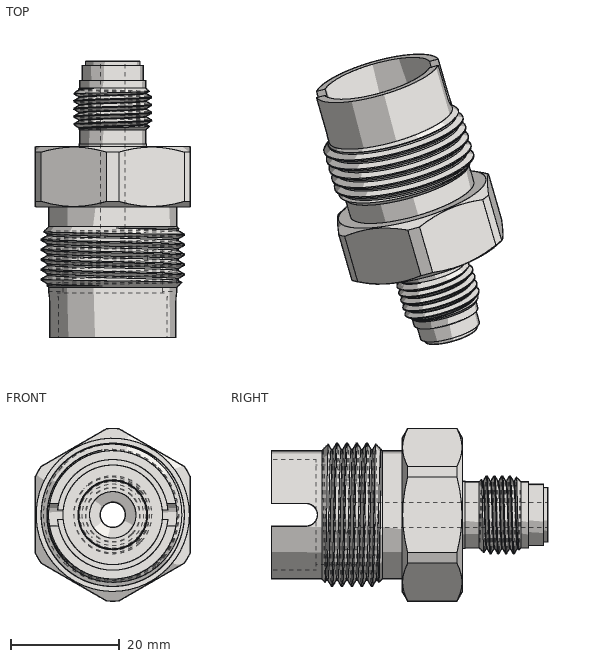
import cadquery as cq
import math

LENGTH = 50.8

HEX_ACROSS_FLATS = 28.55
HEX_ACROSS_CORNERS = 31.75
HEX_CORNER_RADIUS = HEX_ACROSS_CORNERS / 2
HEX_FACE_RADIUS = 14.05
HEX_START = 24.0
HEX_END = 35.1
HEX_BEVEL_ANGLE = 30.0
HEX_BEVEL = (HEX_CORNER_RADIUS - HEX_FACE_RADIUS) * math.tan(math.radians(HEX_BEVEL_ANGLE))
HEX_SIDES = 6
HEX_HALF_SECTOR = 180 / HEX_SIDES

BARREL_RADIUS = 11.8
MOUTH_RADIUS = 10.15
MOUTH_DEPTH = 8.25
SOCKET_RADIUS = 9.15
SOCKET_DEPTH = 16.25
SLOT_WIDTH = 4.1
SLOT_DEPTH = 8.45

SEAT_RADIUS = 6.4
SEAT_TIP = 13.2
SEAT_CHAMFER = 0.15
CONE_RADIUS = 4.1
CONE_DEPTH = 0.9
THROAT_RADIUS = 2.55
HOLE_RADIUS = 2.3
THROAT_LENGTH = 0.2

COLLAR_RADIUS = 6.2
COLLAR_END = 35.55
NECK_RADIUS = 6.1
NECK_END = 47.25
PILOT_RADIUS = 5.65
PILOT_END = 50.0
TIP_RADIUS = 5.05
TIP_CHAMFER = 0.1

BARREL_THREAD_START = 9.25
BARREL_THREAD_END = 20.35
BARREL_THREAD_ROOT = 12.05
BARREL_THREAD_CREST = 13.15
BARREL_THREAD_PITCH = 1.85
BARREL_THREAD_PEAK = 17.55
NOSE_THREAD_START = 38.15
NOSE_THREAD_END = 45.8
NOSE_THREAD_ROOT = 6.2
NOSE_THREAD_CREST = 7.15
NOSE_THREAD_PITCH = 1.4
NOSE_THREAD_PEAK = 40.95
CREST_FLAT_PER_PITCH = 1 / 8
FLANK_ANGLE = 30.0
RIDGE_EMBED = 0.2
CREST_CLEARANCE = 0.05


def revolve_about_y(points):
    """Solid of revolution about Y from (radius, y) points."""
    return cq.Workplane("XY").polyline(points).close().revolve(360, (0, 0, 0), (0, 1, 0))


def cylinder_y(radius, start, end):
    return revolve_about_y([(0, start), (radius, start), (radius, end), (0, end)])


def helical_ridge(root, crest, pitch, start, end, peak, left_handed):
    """Trapezoidal ridge winding about Y, running at least one pitch past both ends."""
    turns_before = math.ceil((peak - start) / pitch) + 1
    first_crest = peak - turns_before * pitch
    height = end + pitch - first_crest
    base_radius = root - RIDGE_EMBED
    crest_half = CREST_FLAT_PER_PITCH * pitch / 2
    base_half = crest_half + (crest - base_radius) * math.tan(math.radians(FLANK_ANGLE))

    path = cq.Wire.makeHelix(pitch, height, base_radius, lefthand=left_handed)
    ridge = (
        cq.Workplane("XZ")
        .polyline([
            (base_radius, -base_half),
            (crest, -crest_half),
            (crest, crest_half),
            (base_radius, base_half),
        ])
        .close()
        .sweep(cq.Workplane(path), isFrenet=True)
    )
    return (
        ridge.rotate((0, 0, 0), (0, 0, 1), -90)
        .rotate((0, 0, 0), (1, 0, 0), -90)
        .translate((0, first_crest, 0))
    )


def tapered_length(shank, outer, start, end):
    """Cylinder whose ends taper down to the shank radius at 45 degrees."""
    taper = outer - shank
    return revolve_about_y([
        (0, start),
        (shank, start),
        (outer, start + taper),
        (outer, end - taper),
        (shank, end),
        (0, end),
    ])


def thread(shank, root, crest, pitch, start, end, peak, left_handed):
    """Threaded length with tapered run-outs at both ends."""
    core = cylinder_y(root, start - 2 * pitch, end + 2 * pitch)
    ridge = helical_ridge(root, crest, pitch, start, end, peak, left_handed)
    envelope = tapered_length(shank, crest + CREST_CLEARANCE, start, end)
    return core.union(ridge).intersect(envelope)


def hexagon():
    prism = (
        cq.Workplane("XZ", origin=(0, HEX_START, 0))
        .polygon(HEX_SIDES, HEX_ACROSS_FLATS / math.cos(math.radians(HEX_HALF_SECTOR)))
        .extrude(HEX_START - HEX_END)
        .rotate((0, 0, 0), (0, 1, 0), HEX_HALF_SECTOR)
    )
    turned_blank = revolve_about_y([
        (0, HEX_START),
        (HEX_FACE_RADIUS, HEX_START),
        (HEX_CORNER_RADIUS, HEX_START + HEX_BEVEL),
        (HEX_CORNER_RADIUS, HEX_END - HEX_BEVEL),
        (HEX_FACE_RADIUS, HEX_END),
        (0, HEX_END),
    ])
    return prism.intersect(turned_blank)


def turned_shank():
    """Barrel and stepped nose, without hexagon and threads."""
    return revolve_about_y([
        (0, 0),
        (BARREL_RADIUS, 0),
        (BARREL_RADIUS, HEX_START),
        (COLLAR_RADIUS, HEX_START),
        (COLLAR_RADIUS, COLLAR_END),
        (NECK_RADIUS, COLLAR_END),
        (NECK_RADIUS, NECK_END),
        (PILOT_RADIUS, NECK_END),
        (PILOT_RADIUS, PILOT_END),
        (TIP_RADIUS, PILOT_END),
        (TIP_RADIUS, LENGTH - TIP_CHAMFER),
        (TIP_RADIUS - TIP_CHAMFER, LENGTH),
        (0, LENGTH),
    ])


def bore():
    """Socket, seat boss and through hole as one turned cavity."""
    cone_end = SEAT_TIP + SEAT_CHAMFER + CONE_DEPTH
    return revolve_about_y([
        (0, 0),
        (MOUTH_RADIUS, 0),
        (MOUTH_RADIUS, MOUTH_DEPTH),
        (SOCKET_RADIUS, MOUTH_DEPTH),
        (SOCKET_RADIUS, SOCKET_DEPTH),
        (SEAT_RADIUS, SOCKET_DEPTH),
        (SEAT_RADIUS, SEAT_TIP + SEAT_CHAMFER),
        (SEAT_RADIUS - SEAT_CHAMFER, SEAT_TIP),
        (CONE_RADIUS + SEAT_CHAMFER, SEAT_TIP),
        (CONE_RADIUS, SEAT_TIP + SEAT_CHAMFER),
        (THROAT_RADIUS, cone_end),
        (HOLE_RADIUS, cone_end + THROAT_LENGTH),
        (HOLE_RADIUS, LENGTH),
        (0, LENGTH),
    ])


def mouth_slots():
    """Pair of round-ended slots through the barrel wall, on the -X and +X sides."""
    half_width = SLOT_WIDTH / 2
    round_center = SLOT_DEPTH - half_width
    return (
        cq.Workplane("YZ")
        .moveTo(0, -half_width)
        .lineTo(round_center, -half_width)
        .threePointArc((SLOT_DEPTH, 0), (round_center, half_width))
        .lineTo(0, half_width)
        .close()
        .extrude(HEX_ACROSS_FLATS / 2, both=True)
    )


barrel_thread = thread(
    shank=BARREL_RADIUS,
    root=BARREL_THREAD_ROOT,
    crest=BARREL_THREAD_CREST,
    pitch=BARREL_THREAD_PITCH,
    start=BARREL_THREAD_START,
    end=BARREL_THREAD_END,
    peak=BARREL_THREAD_PEAK,
    left_handed=True,
)
nose_thread = thread(
    shank=NECK_RADIUS,
    root=NOSE_THREAD_ROOT,
    crest=NOSE_THREAD_CREST,
    pitch=NOSE_THREAD_PITCH,
    start=NOSE_THREAD_START,
    end=NOSE_THREAD_END,
    peak=NOSE_THREAD_PEAK,
    left_handed=False,
)

result = (
    turned_shank()
    .union(hexagon())
    .union(barrel_thread)
    .union(nose_thread)
    .cut(bore())
    .cut(mouth_slots())
)